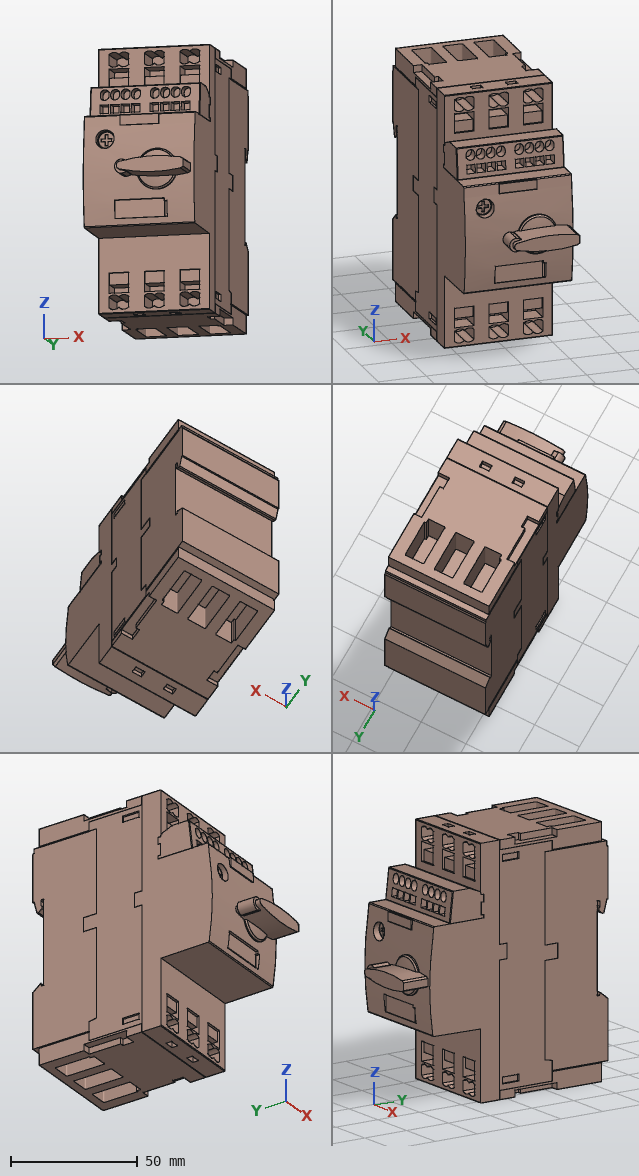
import cadquery as cq


width = 45.0
height = 106.0
half_height = height / 2
body_rear = 3.1
body_front = 61.1
cover_seam = 51.8
edge_break = 0.3
seam_relief = 0.1
cover_groove = 0.2
panel_top = 49.0
panel_bottom = -49.2

base_top = 44.8
base_bottom = -44.9
base_depth = 26.7
base_gap = 0.3
rail_floor = 5.1
rail_top = 21.0
rail_bottom = -17.7

head_top = 22.4
head_bottom = -22.7
head_front_bottom = -22.4
head_edge = 83.8
head_edge_break = 0.4
head_crown = 85.3
brow_bottom = 17.7

block_width = 44.7
block_top = 35.4
block_contact = 59.5
block_step = 60.6

terminal_pitch = 14.4
terminal_offset = 0.1
terminal_width = 8.1
wire_bottom = 45.6
wire_top = 51.4
wire_arch = 0.8
wire_depth = 12.7
clamp_bottom = 36.7
clamp_split = 41.3
clamp_top = 44.8
clamp_depth = 8.5
release_recess = 1.1

aux_pitch = 4.2
aux_inner = 3.8
aux_count = 4
aux_hole_z = 32.0
aux_hole_width = 3.6
aux_hole_height = 4.2
aux_square_z = 26.3
aux_square = 3.5
aux_depth = 5.3
aux_face = 75.7

pocket_pitch = 13.0
pocket_width = 8.3
pocket_rear = 7.0
pocket_front = 25.0
pocket_step_start = 23.1
pocket_step = 0.8
pocket_corner = 0.4
pocket_deep = 15.9
latch_x = 7.3
latch_width = 4.2
latch_rear = 54.5
latch_front = 57.1
latch_deep = 2.6

notch_rear = 24.4
notch_middle = 39.4
notch_front = 44.5
notch_narrow = 3.5
notch_wide = 5.1
notch_height = 2.9
slot_rear = 42.5
slot_front = 50.4
slot_bottom = 44.0
slot_top = 46.7
slot_depth = 1.1

plate_width = 15.8
plate_bottom = 18.0
plate_front = 84.3
screw_x = -13.9
screw_z = 12.6
screw_hole_diameter = 7.4
screw_head_diameter = 6.6
screw_floor = 81.6
screw_head_height = 0.5
cross_length = 4.3
cross_width = 1.2
cross_depth = 0.8
label_left = -9.9
label_right = 10.3
label_bottom = -19.3
label_top = -12.0
label_floor = 83.8
tab_right = 11.5
tab_top = -13.0
tab_floor = 83.0

handle_z = -0.3
disc_x = 7.5
disc_radius = 8.2
dial_radius = 7.5
disc_front = 85.8
dial_front = 86.4
dome_front = 87.2
handle_front = 96.9
handle_root = head_edge
tip_x = -4.5
tip_radius = 1.6
belly_x = 9.6
handle_half = 3.2
shoulder_x = 20.0
shoulder_half = 2.2
end_x = 21.2
end_half = 1.6
collar_radius = 2.9
collar_end_x = -2.4
collar_end_half = 2.2
collar_rear = 86.9
collar_front = 94.7


def side_profile(points, span=width):
    """Extrude an outline of (depth, z) points across the width, centred on X = 0."""
    outline = [(-depth, z) for depth, z in points]
    return cq.Workplane("YZ").polyline(outline).close().extrude(span / 2, both=True)


def block(x_range, depth_range, z_range):
    """Axis-aligned box between pairs of X, depth and Z limits."""
    x0, x1 = x_range
    d0, d1 = depth_range
    z0, z1 = z_range
    return cq.Workplane("XY").box(x1 - x0, d1 - d0, z1 - z0, centered=False).translate((x0, -d1, z0))


def front_plane(depth, x=0.0, z=0.0):
    """Sketch plane facing the front (-Y), at the given depth and centre."""
    return cq.Workplane("XZ", origin=(x, -depth, z))


def both_ends(shape):
    """The shape together with its mirror image in the mid-height plane."""
    return shape.union(shape.mirror("XY"))


def both_sides(shape):
    """The shape together with its mirror image in the mid-width plane."""
    return shape.union(shape.mirror("YZ"))


def housing():
    body = block((-width / 2, width / 2), (body_rear, body_front), (-half_height, half_height))
    return body.faces("<Y").edges("|X").chamfer(edge_break)


def rail_base():
    return side_profile([
        (base_depth, base_top), (0.5, base_top), (0.5, 43.0), (0, 42.4),
        (0, rail_top), (0.5, rail_top), (2.0, 15.6), (2.8, 15.6), (4.3, 17.0),
        (4.3, 18.0), (3.8, 18.5), (3.8, 20.6), (4.2, rail_top), (rail_floor, rail_top),
        (rail_floor, rail_bottom), (4.1, rail_bottom), (3.8, -16.4), (0, -19.5),
        (0, base_bottom), (base_depth, base_bottom),
    ])


def rail_clearance():
    return block((-width / 2, width / 2), (0, rail_floor), (rail_bottom, rail_top))


def control_head():
    return (
        cq.Workplane("YZ")
        .moveTo(-cover_seam, head_top)
        .lineTo(-(head_edge - 2 * head_edge_break), head_top)
        .lineTo(-(head_edge - head_edge_break), head_top - head_edge_break)
        .lineTo(-head_edge, brow_bottom)
        .threePointArc((-head_crown, handle_z), (-head_edge, head_front_bottom + head_edge_break))
        .lineTo(-(head_edge - head_edge_break), head_front_bottom)
        .lineTo(-body_front, head_bottom)
        .lineTo(-cover_seam, head_bottom)
        .close()
        .extrude(width / 2, both=True)
    )


def connector_block(span):
    return side_profile([
        (block_contact, head_top), (aux_face, head_top), (74.2, block_top), (66.1, block_top),
        (body_front, 33.3), (block_step, 32.0), (block_contact, 32.0), (block_contact, 28.9),
        (block_step, 28.9), (block_step, 23.7), (block_contact, 23.7),
    ], span)


def connector():
    """Connector block with a broken edge around its front face."""
    solid = connector_block(block_width)
    solid = solid.faces("<Y").edges().chamfer(edge_break)
    return solid.cut(auxiliary_terminals())


def auxiliary_terminals():
    right = [aux_inner + i * aux_pitch for i in range(aux_count)]
    columns = [-x for x in right] + right
    holes = (
        front_plane(aux_face).pushPoints([(x, aux_hole_z) for x in columns])
        .slot2D(aux_hole_height, aux_hole_width, 90).extrude(-aux_depth)
    )
    squares = (
        front_plane(aux_face).pushPoints([(x, aux_square_z) for x in columns])
        .rect(aux_square, aux_square).extrude(-aux_depth)
    )
    return holes.union(squares)


def wire_opening(x):
    """Two side-by-side lobes with arched ends that meet at a cusp above and below."""
    half = terminal_width / 2
    low = wire_bottom + wire_arch
    high = wire_top - wire_arch
    return (
        front_plane(body_front, x)
        .moveTo(-half, low)
        .lineTo(-half, high)
        .threePointArc((-half / 2, wire_top), (0, high))
        .threePointArc((half / 2, wire_top), (half, high))
        .lineTo(half, low)
        .threePointArc((half / 2, wire_bottom), (0, low))
        .threePointArc((-half / 2, wire_bottom), (-half, low))
        .close()
        .extrude(-wire_depth)
    )


def main_terminals():
    cutter = cq.Workplane("XY")
    for pole in (-1, 0, 1):
        x = terminal_offset + pole * terminal_pitch
        sides = (x - terminal_width / 2, x + terminal_width / 2)
        clamp = block(sides, (body_front - clamp_depth, body_front), (clamp_split, clamp_top))
        release = block(sides, (body_front - release_recess, body_front), (clamp_bottom, clamp_split))
        cutter = cutter.add(wire_opening(x)).add(clamp).add(release)
    return both_ends(cutter.combine())


def end_pockets():
    z_range = (half_height - pocket_deep, half_height)
    half = pocket_width / 2
    cutter = cq.Workplane("XY")
    for pole in (-1, 0, 1):
        x = pole * pocket_pitch
        pocket = block((x - half, x + half), (pocket_rear, pocket_front), z_range)
        pocket = pocket.edges("|Z").fillet(pocket_corner)
        if pole:
            outer = x + pole * half
            step = sorted((outer - pole * pocket_step, outer))
            pocket = pocket.cut(block(step, (pocket_step_start, pocket_front), z_range))
        cutter = cutter.add(pocket)
    for x in (-latch_x, latch_x):
        latch = block((x - latch_width / 2, x + latch_width / 2), (latch_rear, latch_front),
                      (half_height - latch_deep, half_height))
        cutter = cutter.add(latch)
    return both_ends(cutter.combine())


def edge_notches_and_slots():
    edge = width / 2
    z_range = (half_height - notch_height, half_height)
    narrow = block((edge - notch_narrow, edge), (notch_rear, notch_middle), z_range)
    wide = block((edge - notch_wide, edge), (notch_middle, notch_front), z_range)
    slot = block((edge - slot_depth, edge), (slot_rear, slot_front), (slot_bottom, slot_top))
    return both_sides(both_ends(narrow.union(wide).union(slot)))


def side_seams():
    """Shallow relief of the middle side panel, and the gaps above and below the rail base."""
    edge = width / 2
    panel = side_profile([
        (base_depth, panel_top), (cover_seam, panel_top), (cover_seam, 10.4), (48.3, 10.4), (48.3, 4.0),
        (cover_seam, 4.0), (cover_seam, panel_bottom), (base_depth, panel_bottom), (base_depth, -40.7),
        (30.2, -40.1), (30.2, 0.5), (24.1, 0.5), (24.1, 6.8), (30.2, 6.8), (30.2, base_top),
        (base_depth, base_top),
    ])
    skin = block((edge - seam_relief, edge), (0, body_front), (-half_height, half_height))
    relief = panel.intersect(skin)
    for z in (base_top, base_bottom - base_gap):
        relief = relief.union(block((edge - base_gap, edge), (body_rear, base_depth), (z, z + base_gap)))
    return both_sides(relief)


def cover_seam_groove():
    """Hairline groove around the housing where the front cover begins, clear of the side panels."""
    depths = (cover_seam - cover_groove, cover_seam)
    edge = width / 2
    across = block((-edge, edge), depths, (half_height - seam_relief, half_height))
    down = block((edge - seam_relief, edge), depths, (panel_top, half_height))
    return both_ends(across.union(both_sides(down)))


def name_plate():
    return block((-plate_width / 2, plate_width / 2), (body_front, plate_front),
                 (plate_bottom, head_top - edge_break))


def screw_well():
    depth = head_crown - screw_floor
    return front_plane(screw_floor, screw_x, screw_z).circle(screw_hole_diameter / 2).extrude(depth)


def screw_head():
    top = screw_floor + screw_head_height
    head = front_plane(screw_floor, screw_x, screw_z).circle(screw_head_diameter / 2)
    head = head.extrude(screw_head_height)
    cross_plane = front_plane(top, screw_x, screw_z)
    bar = cross_plane.rect(cross_length, cross_width).extrude(-cross_depth)
    post = cross_plane.rect(cross_width, cross_length).extrude(-cross_depth)
    return head, bar.union(post)


def label_window():
    window = block((label_left, label_right), (label_floor, head_crown), (label_bottom, label_top))
    tab = block((label_right, tab_right), (tab_floor, head_crown), (label_bottom, tab_top))
    return window.union(tab)


def dial():
    """Stepped disc with a domed face, turned about the handle axis."""
    dome_middle = dial_front + 0.75 * (dome_front - dial_front)
    return (
        cq.Workplane("XY", origin=(disc_x, 0, handle_z))
        .moveTo(0, -handle_root)
        .lineTo(disc_radius, -handle_root)
        .lineTo(disc_radius, -disc_front)
        .lineTo(dial_radius, -dial_front)
        .threePointArc((dial_radius / 2, -dome_middle), (0, -dome_front))
        .close()
        .revolve(360, (0, 0, 0), (0, 1, 0))
    )


def handle():
    grip = (
        front_plane(handle_root, 0, handle_z)
        .moveTo(tip_x, tip_radius)
        .threePointArc((belly_x, handle_half), (shoulder_x, shoulder_half))
        .lineTo(end_x, end_half)
        .lineTo(end_x, -end_half)
        .lineTo(shoulder_x, -shoulder_half)
        .threePointArc((belly_x, -handle_half), (tip_x, -tip_radius))
        .threePointArc((tip_x - tip_radius, 0), (tip_x, tip_radius))
        .close()
        .extrude(handle_front - handle_root)
    )
    collar = (
        front_plane(collar_rear, 0, handle_z)
        .moveTo(tip_x, collar_radius)
        .lineTo(collar_end_x, collar_end_half)
        .lineTo(collar_end_x, -collar_end_half)
        .lineTo(tip_x, -collar_radius)
        .threePointArc((tip_x - collar_radius, 0), (tip_x, collar_radius))
        .close()
        .extrude(collar_front - collar_rear)
    )
    return grip.union(collar)


shell = housing().cut(rail_clearance()).union(rail_base())
shell = shell.cut(main_terminals()).cut(end_pockets()).cut(edge_notches_and_slots())
shell = shell.cut(side_seams()).cut(cover_seam_groove())

shell = shell.cut(connector_block(width))
shell = shell.union(connector())

cap, cross = screw_head()
shell = shell.union(control_head()).union(name_plate())
shell = shell.cut(screw_well()).union(cap).cut(cross).cut(label_window())
result = shell.union(dial()).union(handle())